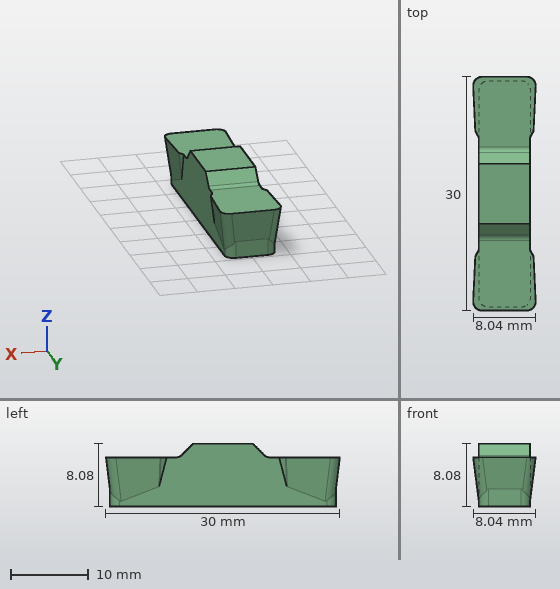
import cadquery as cq
import math

overall_length = 30.03
overall_height = 8.08
head_height = 6.35
body_width = 6.6
relief_angle = 7
corner_radius = 1.2

tip_half_width = 4.08
heel_half_width = 3.75
heel_y = 8.05
neck_y = 7.2
neck_radius = 0.27

ridge_half_length = 3.85
ridge_root_radius = 1.0

end_y = overall_length / 2
body_half_width = body_width / 2
front_land_height = 2.28
front_relief = (head_height - front_land_height) * math.tan(math.radians(relief_angle))
body_length = overall_length - 2 * front_relief
margin = 0.3
ridge_root_y = ridge_half_length + overall_height - head_height


def make_body():
    """Straight shank with rounded vertical corners."""
    return (
        cq.Workplane("XY")
        .rect(body_width, body_length)
        .extrude(head_height)
        .edges("|Z")
        .fillet(corner_radius)
    )


def make_ridge():
    """Trapezoidal ridge on top of the body, with rounded roots."""
    base_y = ridge_root_y + ridge_root_radius
    return (
        cq.Workplane("YZ")
        .moveTo(-base_y, 0)
        .lineTo(-base_y, head_height)
        .lineTo(-ridge_root_y, head_height)
        .lineTo(-ridge_half_length, overall_height)
        .lineTo(ridge_half_length, overall_height)
        .lineTo(ridge_root_y, head_height)
        .lineTo(base_y, head_height)
        .lineTo(base_y, 0)
        .close()
        .extrude(body_half_width, both=True)
        .edges("|X")
        .edges(cq.selectors.BoxSelector(
            (-body_width, -base_y + margin, head_height - margin),
            (body_width, base_y - margin, head_height + margin),
        ))
        .fillet(ridge_root_radius)
    )


def make_head():
    """Cutting head at the +Y end, narrowing downward on every flank."""
    root_half_width = 2 * body_half_width - heel_half_width
    root_y = 2 * neck_y - heel_y
    head = (
        cq.Workplane("XY", origin=(0, 0, head_height))
        .polyline([
            (-root_half_width, root_y),
            (-heel_half_width, heel_y),
            (-tip_half_width, end_y),
            (tip_half_width, end_y),
            (heel_half_width, heel_y),
            (root_half_width, root_y),
        ])
        .close()
        .extrude(-head_height, taper=relief_angle)
    )
    head = head.edges("not #Z").edges(">Y").fillet(corner_radius)
    heel_zone = cq.selectors.BoxSelector(
        (-body_width, neck_y, 0),
        (body_width, end_y - corner_radius, head_height),
    )
    return head.edges("not #Z").edges(heel_zone).fillet(neck_radius)


head = make_head()
result = make_body().union(make_ridge()).union(head).union(head.mirror("XZ")).clean()